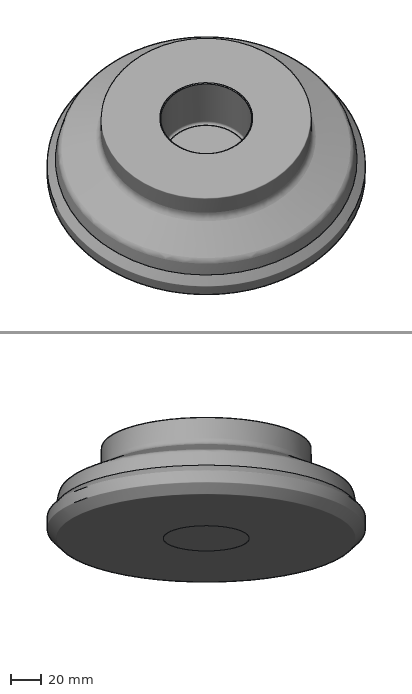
import cadquery as cq
import math

outer_radius = 106.0
height = 63.0

bevel_width = 5.5
rim_bottom_z = 6.4
rim_top_z = 14.6
collar_radius = outer_radius - bevel_width
collar_bottom_z = rim_top_z + bevel_width
base_radius = outer_radius - rim_bottom_z
shoulder_radius = 98.2
shoulder_z = 31.4
neck_radius = 70.0
cone_angle = 25.0
cone_top_z = shoulder_z + (shoulder_radius - neck_radius) * math.tan(math.radians(cone_angle))
neck_fillet = 5.5
shoulder_fillet = 4.2
edge_break = 0.6

bore_radius = 30.3
bore_depth = 41.1
bore_chamfer = 0.6
seat_fillet = 1.7
plug_radius = bore_radius - seat_fillet
plug_height = height - bore_depth
plug_bevel_width = 1.3
plug_bevel_drop = 0.2


def circles_at(body, radius, z):
    """Circular edges of the body with this radius at this height."""
    tolerance = 0.02
    return body.edges("%CIRCLE").filter(
        lambda edge: abs(edge.radius() - radius) < tolerance and abs(edge.Center().z - z) < tolerance
    )


def make_housing():
    """Turned housing with a rim, a collar, a cone and a neck, bored through."""
    body = (
        cq.Workplane("XZ")
        .moveTo(0, 0)
        .lineTo(base_radius, 0)
        .lineTo(outer_radius, rim_bottom_z)
        .lineTo(outer_radius, rim_top_z)
        .lineTo(collar_radius, collar_bottom_z)
        .lineTo(shoulder_radius, shoulder_z)
        .lineTo(neck_radius, cone_top_z)
        .lineTo(neck_radius, height)
        .lineTo(0, height)
        .close()
        .revolve(360, (0, 0, 0), (0, 1, 0))
    )
    rounds = [
        (neck_radius, cone_top_z, neck_fillet),
        (shoulder_radius, shoulder_z, shoulder_fillet),
        (neck_radius, height, edge_break),
        (outer_radius, rim_top_z, edge_break),
        (outer_radius, rim_bottom_z, edge_break),
        (base_radius, 0, edge_break),
    ]
    for radius, z, size in rounds:
        body = circles_at(body, radius, z).fillet(size)

    bore = (
        cq.Workplane("XZ")
        .moveTo(0, 0)
        .lineTo(plug_radius, 0)
        .lineTo(plug_radius, plug_height)
        .radiusArc((bore_radius, plug_height + seat_fillet), -seat_fillet)
        .lineTo(bore_radius, height - bore_chamfer)
        .lineTo(bore_radius + bore_chamfer, height)
        .lineTo(0, height)
        .close()
        .revolve(360, (0, 0, 0), (0, 1, 0))
    )
    return body.cut(bore).solids()


def make_plug():
    """Round plug closing the bottom of the bore, with a shallow bevel around its top."""
    return (
        cq.Workplane("XZ")
        .moveTo(0, 0)
        .lineTo(plug_radius, 0)
        .lineTo(plug_radius, plug_height - plug_bevel_drop)
        .lineTo(plug_radius - plug_bevel_width, plug_height)
        .lineTo(0, plug_height)
        .close()
        .revolve(360, (0, 0, 0), (0, 1, 0))
    )


housing = make_housing()
plug = make_plug()

result = cq.Compound.makeCompound([housing.val(), plug.val()])